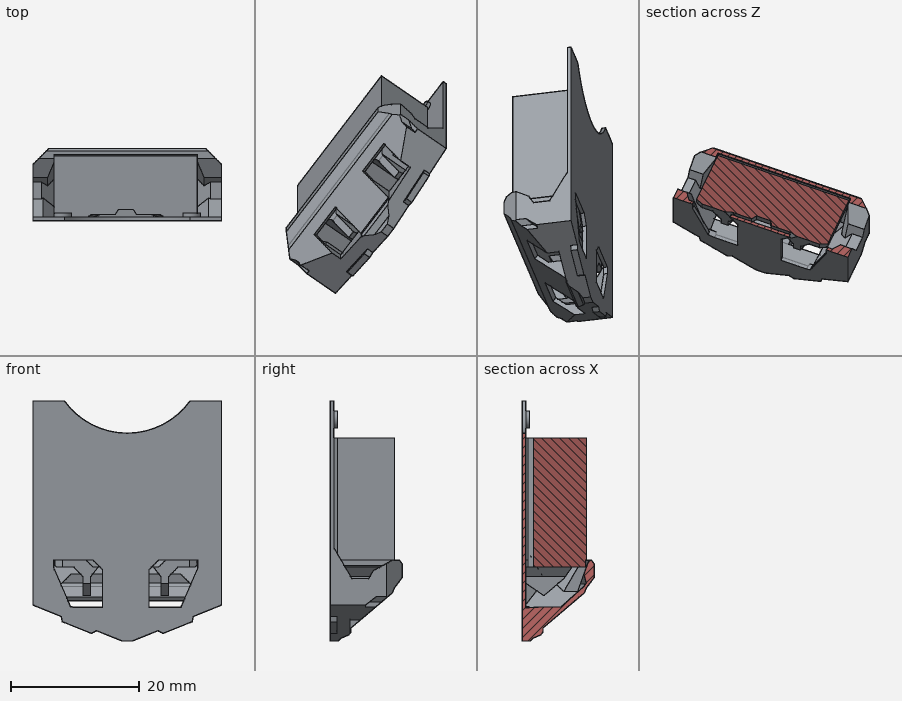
import cadquery as cq


WIDTH = 29.3
DEPTH = 11.25
HEIGHT = 37.28
HALF_WIDTH = WIDTH / 2
PLATE_THICKNESS = 0.6
RIM_Z = 12.58
CORNER_CHAMFER = 2.5
BACK_BOTTOM_Z = 9.9
BACK_TOP_Z = 11.95
RIM_EDGE_Y = 10.8

THUMB_RADIUS = 12.0
THUMB_DEPTH = 4.98

SIDE_BOTTOM_Z = 5.58
TIP_HALF_WIDTH = 0.8
V_SLOPE = SIDE_BOTTOM_Z / (HALF_WIDTH - TIP_HALF_WIDTH)
TAB_DEPTH = 1.05
TAB_DROP = 0.74
TAB_INNER_X = 5.57
TAB_OUTER_X = 10.1
TAB_TOP_INNER_X = 4.75
TAB_TOP_OUTER_X = 10.27

INNER_MIDDLE_X = -0.22

WINDOW_INNER_X = 3.63
WINDOW_OUTER_X = 11.2
WINDOW_BOTTOM_OUTER_X = 8.5
WINDOW_BOTTOM_Z = 5.19
WINDOW_TOP_Z = 12.58
WINDOW_SHOULDER_Z = 11.4
WINDOW_CORNER_CUT = 1.48

LOWER_BACK_PROFILE = [
    (1.26, 0),
    (1.75, 0.45),
    (2.85, 0.93),
    (3.25, 1.33),
    (3.29, 2.05),
    (9.7, 7.5),
    (10.0, 8.24),
]

NOTCH_FLOOR_Z = 9.7
NOTCH_FLOOR_FRONT_Y = 3.4
NOTCH_FLOOR_BACK_Y = 6.0
NOTCH_FRONT_Z = 14.5
NOTCH_STEP_Y = 6.72
NOTCH_STEP_Z = 10.94
RIM_NOTCH_Y = 9.7

CAVITY_HALF_WIDTH = 13.12
CORNER_BLOCK_X = 12.14
CORNER_BLOCK_INNER_X = 11.12
CORNER_BLOCK_RUN = 1.65
FRONT_BLOCK_X = 12.86
FRONT_BLOCK_TAPER = 0.73
CAVITY_BACK_Y = 10.27
SHELF_BACK_Y = 3.1
SHELF_BACK_Z = 5.33
BACK_SLOPE_START_Y = 6.05
BACK_SLOPE = 0.893
BACK_SLOPE_TOP_Y = 8.6
POCKET_SLOPE_TOP_Y = 9.55
POCKET_DEEPEST_Y = 9.95
POCKET_DEEPEST_Z = 9.0
POCKET_TOP_Y = 9.6
POCKET_TOP_Z = 10.43
POCKET_HALF_WIDTH = 10.1
POCKET_SHOULDER_Z = 8.85
POCKET_TOP_HALF_WIDTH = 8.48
CAVITY_BACK_Z = 12.3
OPENING_OUTER_X = 9.2
OPENING_INNER_Y = 7.75
OPENING_TOP_Y = 8.2
OPENING_TOP_Z = 6.25

RELIEF_WIDTH = 0.65
RELIEF_OUTER_Z = 6.93
RELIEF_INNER_Z = 6.1
RELIEF_FRONT_Y = 5.5
RELIEF_RAMP_END_Y = 7.2

BUTTON_DIAMETER = 2.7
BUTTON_HEIGHT = 0.6
BUTTON_X = 10.0
BUTTON_Z = 34.4

MODULE_HALF_WIDTH = 11.12
MODULE_BACK_Y = 10.03
MODULE_TOP_Z = 31.57
MODULE_BOTTOM_Z = 11.5
TONGUE_INSET = 0.1
TONGUE_CHAMFER = 0.27
TONGUE_RECESS_FRONT_X = 6.18
TONGUE_RECESS_BACK_X = 5.08
EDGE_CHAMFER_X = 1.15
EDGE_CHAMFER_Y = 0.55
RECESS_HALF_WIDTH = 5.4
RECESS_DEPTH = 0.35
RECESS_BEVEL = 0.4
GROOVE_HALF_WIDTH = 1.15
GROOVE_DEPTH = 1.15
GROOVE_BEVEL = 0.75
LEG_INNER_X = 5.45
LEG_OUTER_X = 6.65
LEG_WEB_OUTER_X = 8.1
LEG_WEB_INNER_X = 4.3
LEG_WEB_Z = 10.0
LEG_FRONT_Z = 8.97
LEG_POINT_Y = 3.4
LEG_POINT_Z = 7.06
LEG_BACK_Y = 6.5
LEG_BACK_Z = 9.7
LEG_WEB_BACK_Y = 8.5

BOTH_SIDES = (-1, 1)


def along_y(points, start, end):
    """Prism with an XZ outline, running in Y from start to end."""
    return cq.Workplane("XZ", origin=(0, start, 0)).polyline(points).close().extrude(start - end)


def along_x(points, start, end):
    """Prism with a YZ outline, running in X from start to end."""
    return cq.Workplane("YZ", origin=(start, 0, 0)).polyline(points).close().extrude(end - start)


def along_z(points, start, end):
    """Prism with an XY outline, running in Z from start to end."""
    return cq.Workplane("XY", origin=(0, 0, start)).polyline(points).close().extrude(end - start)


def mirrored(points):
    """Closed outline from its right half, listed from one end of the axis to the other."""
    return points + [(-x, v) for x, v in reversed(points)]


def v_edge(x):
    """Height of the V-shaped bottom edge at a distance x from the middle."""
    return (x - TIP_HALF_WIDTH) * V_SLOPE


def back_slope_z(y):
    """Height of the sloping inner face of the lower back wall at a given Y."""
    return SHELF_BACK_Z + (y - BACK_SLOPE_START_Y) * BACK_SLOPE


def outer_body():
    v_outline = mirrored([(TIP_HALF_WIDTH, 0), (HALF_WIDTH, SIDE_BOTTOM_Z), (HALF_WIDTH, HEIGHT)])
    side_outline = [
        (0, 0),
        *LOWER_BACK_PROFILE,
        (DEPTH, BACK_BOTTOM_Z),
        (DEPTH, BACK_TOP_Z),
        (RIM_EDGE_Y, RIM_Z),
        (RIM_NOTCH_Y, RIM_Z),
        (NOTCH_STEP_Y, NOTCH_STEP_Z),
        (NOTCH_FLOOR_BACK_Y, NOTCH_FLOOR_Z),
        (NOTCH_FLOOR_FRONT_Y, NOTCH_FLOOR_Z),
        (PLATE_THICKNESS, NOTCH_FRONT_Z),
        (PLATE_THICKNESS, HEIGHT),
        (0, HEIGHT),
    ]
    body = along_y(v_outline, 0, DEPTH).intersect(along_x(side_outline, -HALF_WIDTH, HALF_WIDTH))
    for side in BOTH_SIDES:
        corner = [
            (side * HALF_WIDTH, DEPTH),
            (side * (HALF_WIDTH - CORNER_CHAMFER), DEPTH),
            (side * HALF_WIDTH, DEPTH - CORNER_CHAMFER),
        ]
        body = body.cut(along_z(corner, 0, HEIGHT))
    return body


def bottom_tab(side):
    outline = [
        (TAB_TOP_INNER_X, v_edge(TAB_TOP_INNER_X)),
        (TAB_INNER_X, v_edge(TAB_INNER_X) - TAB_DROP),
        (TAB_OUTER_X, v_edge(TAB_OUTER_X) - TAB_DROP),
        (TAB_TOP_OUTER_X, v_edge(TAB_TOP_OUTER_X)),
        (TAB_OUTER_X, SIDE_BOTTOM_Z),
        (TAB_INNER_X, SIDE_BOTTOM_Z - TAB_DROP),
    ]
    return along_y([(side * x, z) for x, z in outline], 0, TAB_DEPTH)


def window(side):
    outline = [
        (WINDOW_INNER_X, WINDOW_BOTTOM_Z),
        (WINDOW_BOTTOM_OUTER_X, WINDOW_BOTTOM_Z),
        (WINDOW_OUTER_X, WINDOW_SHOULDER_Z),
        (WINDOW_OUTER_X, WINDOW_TOP_Z),
        (WINDOW_INNER_X + WINDOW_CORNER_CUT, WINDOW_TOP_Z),
        (WINDOW_INNER_X, WINDOW_TOP_Z - WINDOW_CORNER_CUT),
    ]
    return along_y([(side * x, z) for x, z in outline], 0, PLATE_THICKNESS)


def leaning_block(outline, lean):
    """Full-height block whose XY outline, given at the notch floor, shifts in Y by lean per unit of Z."""

    def shifted(z):
        return [(x, y + lean * (z - NOTCH_FLOOR_Z)) for x, y in outline]

    base = cq.Workplane("XY").polyline(shifted(0)).close()
    return base.workplane(offset=HEIGHT).polyline(shifted(HEIGHT)).close().loft(ruled=True)


def corner_blocks():
    """Blocks in the corners of the cavity, with faces that follow both slopes of the side notches."""
    back_lean = (NOTCH_STEP_Y - NOTCH_FLOOR_BACK_Y) / (NOTCH_STEP_Z - NOTCH_FLOOR_Z)
    front_lean = (PLATE_THICKNESS - NOTCH_FLOOR_FRONT_Y) / (NOTCH_FRONT_Z - NOTCH_FLOOR_Z)
    back_outline = [
        (HALF_WIDTH, NOTCH_FLOOR_BACK_Y),
        (CORNER_BLOCK_X, NOTCH_FLOOR_BACK_Y),
        (CORNER_BLOCK_INNER_X, NOTCH_FLOOR_BACK_Y + CORNER_BLOCK_RUN),
        (CORNER_BLOCK_INNER_X, 2 * DEPTH),
        (HALF_WIDTH, 2 * DEPTH),
    ]
    front_outline = [
        (HALF_WIDTH, NOTCH_FLOOR_FRONT_Y),
        (FRONT_BLOCK_X, NOTCH_FLOOR_FRONT_Y),
        (FRONT_BLOCK_X - FRONT_BLOCK_TAPER * DEPTH, NOTCH_FLOOR_FRONT_Y - DEPTH),
        (HALF_WIDTH, NOTCH_FLOOR_FRONT_Y - DEPTH),
    ]
    blocks = cq.Workplane("XY")
    for side in BOTH_SIDES:
        for outline, lean in ((back_outline, back_lean), (front_outline, front_lean)):
            blocks = blocks.add(leaning_block([(side * x, y) for x, y in outline], lean))
    return blocks.combine()


def back_pocket():
    """Undercut in the inner face of the back wall, narrower at the top."""
    outline = mirrored(
        [
            (POCKET_HALF_WIDTH, back_slope_z(BACK_SLOPE_TOP_Y)),
            (POCKET_HALF_WIDTH, POCKET_SHOULDER_Z),
            (POCKET_TOP_HALF_WIDTH, POCKET_TOP_Z),
        ]
    )
    side_outline = [
        (BACK_SLOPE_TOP_Y, back_slope_z(BACK_SLOPE_TOP_Y)),
        (POCKET_SLOPE_TOP_Y, back_slope_z(POCKET_SLOPE_TOP_Y)),
        (POCKET_DEEPEST_Y, POCKET_DEEPEST_Z),
        (POCKET_TOP_Y, POCKET_TOP_Z),
    ]
    return along_y(outline, 0, DEPTH).intersect(along_x(side_outline, -HALF_WIDTH, HALF_WIDTH))


def cavity():
    """Funnel-shaped room behind the plate: 45 degree sides and a sloping back wall."""
    funnel_drop = NOTCH_FLOOR_Z - WINDOW_BOTTOM_Z
    funnel = mirrored(
        [
            (CAVITY_HALF_WIDTH - funnel_drop, WINDOW_BOTTOM_Z),
            (CAVITY_HALF_WIDTH, NOTCH_FLOOR_Z),
            (CAVITY_HALF_WIDTH, HEIGHT),
        ]
    )
    side_outline = [
        (PLATE_THICKNESS, HEIGHT),
        (PLATE_THICKNESS, WINDOW_BOTTOM_Z),
        (SHELF_BACK_Y, SHELF_BACK_Z),
        (BACK_SLOPE_START_Y, SHELF_BACK_Z),
        (BACK_SLOPE_TOP_Y, back_slope_z(BACK_SLOPE_TOP_Y)),
        (CAVITY_BACK_Y, CAVITY_BACK_Z),
        (CAVITY_BACK_Y, HEIGHT),
    ]
    room = along_y(funnel, 0, DEPTH).intersect(along_x(side_outline, -HALF_WIDTH, HALF_WIDTH))
    return room.cut(corner_blocks()).union(back_pocket())


def back_opening(side):
    """Opening from the cavity through the sloping back, below the end of the back wall."""
    outline = [
        (SHELF_BACK_Y, 0),
        (SHELF_BACK_Y, SHELF_BACK_Z),
        (BACK_SLOPE_START_Y, SHELF_BACK_Z),
        (OPENING_INNER_Y, back_slope_z(OPENING_INNER_Y)),
        (OPENING_TOP_Y, OPENING_TOP_Z),
        (DEPTH, 0),
    ]
    return along_x(outline, side * WINDOW_INNER_X, side * OPENING_OUTER_X)


def lower_corner_relief(side):
    """Small wedge removed from the lower back corner of a side wall."""
    relief_x = HALF_WIDTH - RELIEF_WIDTH
    wedge = [(HALF_WIDTH, RELIEF_OUTER_Z), (relief_x, RELIEF_INNER_Z), (relief_x, 0), (HALF_WIDTH, 0)]
    ramp = [
        (RELIEF_FRONT_Y, 0),
        (RELIEF_FRONT_Y, SIDE_BOTTOM_Z),
        (RELIEF_RAMP_END_Y, RELIEF_OUTER_Z),
        (DEPTH, RELIEF_OUTER_Z),
        (DEPTH, 0),
    ]
    prism = along_y([(side * x, z) for x, z in wedge], 0, DEPTH)
    return prism.intersect(along_x(ramp, -HALF_WIDTH, HALF_WIDTH))


def button(side):
    centre = (side * BUTTON_X, PLATE_THICKNESS, BUTTON_Z)
    return cq.Workplane("XZ", origin=centre).circle(BUTTON_DIAMETER / 2).extrude(-BUTTON_HEIGHT)


def make_holder():
    thumb_centre_z = HEIGHT - THUMB_DEPTH + THUMB_RADIUS
    thumb = cq.Workplane("XZ").center(0, thumb_centre_z).circle(THUMB_RADIUS).extrude(-PLATE_THICKNESS)
    room = cavity()
    for side in BOTH_SIDES:
        room = room.union(back_opening(side)).union(window(side))
    body = outer_body().cut(thumb).cut(room.translate((INNER_MIDDLE_X, 0, 0)))
    for side in BOTH_SIDES:
        body = body.cut(lower_corner_relief(side)).union(bottom_tab(side)).union(button(side))
    return body


def module_leg(side):
    """Web under the module that narrows at 45 degrees into a leg with a pointed foot."""
    web = [
        (LEG_WEB_OUTER_X, MODULE_BOTTOM_Z),
        (LEG_OUTER_X, LEG_WEB_Z),
        (LEG_OUTER_X, 0),
        (LEG_INNER_X, 0),
        (LEG_INNER_X, LEG_WEB_Z),
        (LEG_WEB_INNER_X, MODULE_BOTTOM_Z),
    ]
    foot = [
        (PLATE_THICKNESS, RIM_Z),
        (PLATE_THICKNESS, LEG_FRONT_Z),
        (LEG_POINT_Y, LEG_POINT_Z),
        (LEG_BACK_Y, LEG_BACK_Z),
        (LEG_WEB_BACK_Y, RIM_Z),
    ]
    prism = along_y([(side * x, z) for x, z in web], 0, DEPTH)
    return prism.intersect(along_x(foot, -HALF_WIDTH, HALF_WIDTH))


def front_channel(half_width, depth, bevel, bottom):
    """Vertical channel with sloping sides in the front face of the module."""
    bottom_y = PLATE_THICKNESS + depth
    outline = mirrored([(half_width + bevel, PLATE_THICKNESS), (half_width, bottom_y)])
    return along_z(outline, bottom, MODULE_TOP_Z)


def tongue_recess():
    """Lower end of the front recess, closing in at 45 degrees across the tongue."""
    drop = RIM_Z - MODULE_BOTTOM_Z

    def outline(top_half_width):
        return mirrored([(top_half_width, RIM_Z), (top_half_width - drop, MODULE_BOTTOM_Z)])

    face = cq.Workplane("XZ", origin=(0, PLATE_THICKNESS, 0))
    front = face.polyline(outline(TONGUE_RECESS_FRONT_X)).close()
    back = front.workplane(offset=-RECESS_DEPTH).polyline(outline(TONGUE_RECESS_BACK_X)).close()
    return back.loft(ruled=True)


def module_tongue():
    """Slightly smaller lower end of the module, with chamfered lower side edges."""
    half_width = MODULE_HALF_WIDTH - TONGUE_INSET
    outline = mirrored(
        [
            (half_width - TONGUE_CHAMFER, MODULE_BOTTOM_Z),
            (half_width, MODULE_BOTTOM_Z + TONGUE_CHAMFER),
            (half_width, RIM_Z),
        ]
    )
    block = module_block(TONGUE_INSET, MODULE_BOTTOM_Z, RIM_Z)
    return block.intersect(along_y(outline, 0, DEPTH)).cut(tongue_recess())


def module_block(inset, bottom, top):
    half_width = MODULE_HALF_WIDTH - inset
    back = MODULE_BACK_Y - inset
    front = PLATE_THICKNESS
    outline = mirrored(
        [
            (half_width - EDGE_CHAMFER_X, front),
            (half_width, front + EDGE_CHAMFER_Y),
            (half_width, back),
        ]
    )
    return along_z(outline, bottom, top)


def make_module():
    body = module_block(0, RIM_Z, MODULE_TOP_Z)
    body = body.union(module_tongue())
    body = body.cut(front_channel(RECESS_HALF_WIDTH, RECESS_DEPTH, RECESS_BEVEL, RIM_Z))
    body = body.cut(front_channel(GROOVE_HALF_WIDTH, GROOVE_DEPTH, GROOVE_BEVEL, MODULE_BOTTOM_Z))
    for side in BOTH_SIDES:
        body = body.union(module_leg(side))
    return body.translate((INNER_MIDDLE_X, 0, 0))


holder = make_holder()
module = make_module()
result = cq.Compound.makeCompound([holder.solids().val(), module.solids().val()])